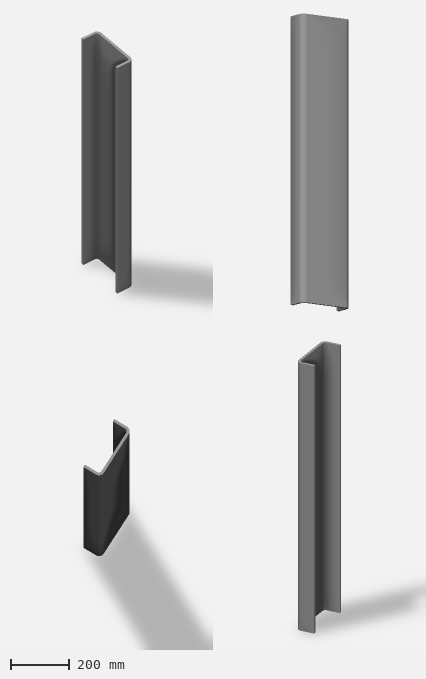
import cadquery as cq

width = 200.0
depth = 70.0
length = 1000.0

thickness = 10.0
inner_radius = 10.0
outer_radius = inner_radius + thickness


def block(size_x, size_y, back_y, corner_radius):
    """Full-length block whose two back corners at back_y are rounded."""
    return (
        cq.Workplane("XY")
        .center(0, back_y - size_y / 2)
        .rect(size_x, size_y)
        .extrude(length)
        .edges("|Z and >Y")
        .fillet(corner_radius)
    )


envelope = block(width, depth, depth, outer_radius)
inside = block(width - 2 * thickness, depth - thickness, depth - thickness, inner_radius)

result = envelope.cut(inside)